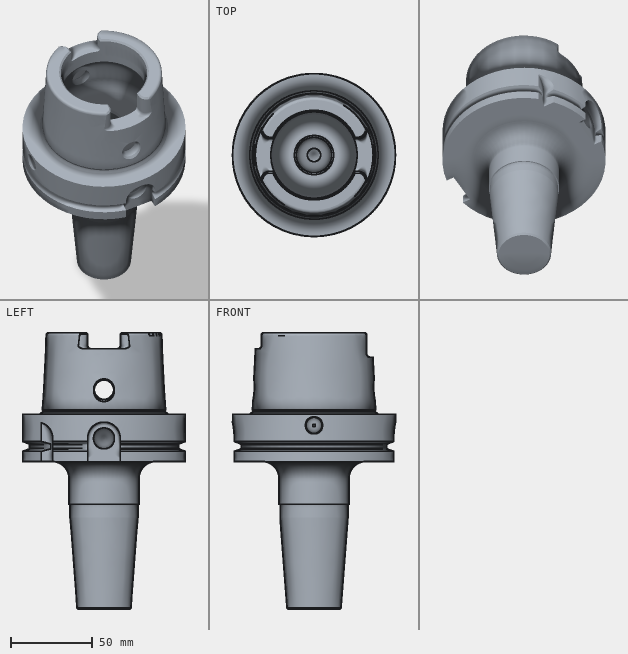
import cadquery as cq
import math

TOTAL_HEIGHT = 169.9
SEAT_Z = 120.0
FLANGE_BOTTOM_Z = 90.7
NECK_STEP_Z = 64.5
NOSE_TOP_Z = 56.5

FLANGE_DIAMETER = 100.0
FLANGE_RADIUS = FLANGE_DIAMETER / 2
NECK_RADIUS = 21.5
NOSE_RADIUS = 20.9
TIP_RADIUS = 16.7
TIP_CHAMFER = 1.0
NECK_FILLET = 10.0

GROOVE_Z = 100.0
GROOVE_RADIUS = 45.9
GROOVE_FLOOR_WIDTH = 3.0
GROOVE_MOUTH_WIDTH = 6.1
GROOVE_FILLET = 0.7

SHANK_TOP_RADIUS = 35.5
SHANK_SLOPE = 0.05
SHANK_LIP_HEIGHT = 2.7
RELIEF_RADIUS = 37.5
RELIEF_BOTTOM_HEIGHT = 1.4
RELIEF_TOP_HEIGHT = 2.0
RELIEF_FOOT_RADIUS = 39.5
RIM_FILLET = 1.9

BORE_RADIUS = 26.5
BORE_CHAMFER = 1.0
BORE_LIP_Z = 150.7
CHAMBER_RADIUS = 31.5
CHAMBER_FLOOR_Z = 123.5
CHAMBER_FILLET = 6.6
COOLANT_RADIUS = 10.9
COOLANT_CHAMFER = 1.2
COOLANT_DEPTH = 8.5
CENTRE_DRILL_RADIUS = 4.0

DRIVE_SLOT_WIDTH = 20.0
DRIVE_FLOOR_Z = {-1: 160.0, 1: 155.0}
DRIVE_CORNER_X = 27.4
DRIVE_CORNER_RADIUS = 5.0
DRIVE_SIDE_MARGIN = 8.5
DRIVE_FLOOR_FILLET = 2.0
DRIVE_TOP_CHAMFER = 1.0

CROSS_HOLE_Z = 134.9
CROSS_HOLE_RADIUS = 6.0
CROSS_SINK_RADIUS = 7.0

ARCH_WIDTH = 20.0
ARCH_CENTRE_Z = 105.0
ARCH_FLOOR_X = 44.0
DIMPLE_RADIUS = 6.5
DIMPLE_DEPTH = 5.1
NOTCH_CENTRE_Y = 41.5
NOTCH_FLOOR_X = 32.1

CHIP_Z = 113.0
CHIP_RADIUS = 5.0
CHIP_CHAMFER = 0.3
CHIP_DEPTH = 4.5
CHIP_POINT_RADIUS = 0.8

DRILL_HALF_ANGLE = math.radians(59)
CLEARANCE = 1.7


def body():
    """Turned outside shape with the rounded rim."""
    lip_z = SEAT_Z + SHANK_LIP_HEIGHT
    lip_radius = SHANK_TOP_RADIUS + SHANK_SLOPE * (TOTAL_HEIGHT - lip_z)
    fillet_x = NECK_RADIUS + NECK_FILLET
    fillet_z = FLANGE_BOTTOM_Z - NECK_FILLET
    bend = NECK_FILLET * math.sqrt(0.5)
    floor_half = GROOVE_FLOOR_WIDTH / 2
    mouth_half = GROOVE_MOUTH_WIDTH / 2
    profile = (
        cq.Workplane("XZ")
        .moveTo(0, 0)
        .lineTo(TIP_RADIUS - TIP_CHAMFER, 0)
        .lineTo(TIP_RADIUS, TIP_CHAMFER)
        .lineTo(NOSE_RADIUS, NOSE_TOP_Z)
        .lineTo(NOSE_RADIUS, NECK_STEP_Z)
        .lineTo(NECK_RADIUS, NECK_STEP_Z)
        .lineTo(NECK_RADIUS, fillet_z)
        .threePointArc((fillet_x - bend, fillet_z + bend), (fillet_x, FLANGE_BOTTOM_Z))
        .lineTo(FLANGE_RADIUS, FLANGE_BOTTOM_Z)
        .lineTo(FLANGE_RADIUS, GROOVE_Z - mouth_half)
        .lineTo(GROOVE_RADIUS, GROOVE_Z - floor_half)
        .lineTo(GROOVE_RADIUS, GROOVE_Z + floor_half)
        .lineTo(FLANGE_RADIUS, GROOVE_Z + mouth_half)
        .lineTo(FLANGE_RADIUS, SEAT_Z)
        .lineTo(RELIEF_FOOT_RADIUS, SEAT_Z)
        .lineTo(RELIEF_RADIUS, SEAT_Z + RELIEF_BOTTOM_HEIGHT)
        .lineTo(RELIEF_RADIUS, SEAT_Z + RELIEF_TOP_HEIGHT)
        .lineTo(lip_radius, lip_z)
        .lineTo(SHANK_TOP_RADIUS, TOTAL_HEIGHT)
        .lineTo(0, TOTAL_HEIGHT)
        .close()
    )
    solid = profile.revolve(360, (0, 0, 0), (0, 1, 0))
    solid = solid.faces(">Z").edges().fillet(RIM_FILLET)
    groove_floor = cq.selectors.BoxSelector(
        (-FLANGE_RADIUS, -FLANGE_RADIUS, GROOVE_Z - mouth_half + GROOVE_FILLET),
        (FLANGE_RADIUS, FLANGE_RADIUS, GROOVE_Z + mouth_half - GROOVE_FILLET),
    )
    return solid.edges("%CIRCLE").edges(groove_floor).fillet(GROOVE_FILLET)


def bore():
    """Turned inside of the shank, down to the centre drill point."""
    coolant_z = CHAMBER_FLOOR_Z - COOLANT_DEPTH
    point_z = coolant_z - CENTRE_DRILL_RADIUS / math.tan(DRILL_HALF_ANGLE)
    floor_edge = CHAMBER_RADIUS - CHAMBER_FILLET
    bend = CHAMBER_FILLET * math.sqrt(0.5)
    fillet_z = CHAMBER_FLOOR_Z + CHAMBER_FILLET
    profile = (
        cq.Workplane("XZ")
        .moveTo(0, point_z)
        .lineTo(CENTRE_DRILL_RADIUS, coolant_z)
        .lineTo(COOLANT_RADIUS, coolant_z)
        .lineTo(COOLANT_RADIUS, CHAMBER_FLOOR_Z - COOLANT_CHAMFER)
        .lineTo(COOLANT_RADIUS + COOLANT_CHAMFER, CHAMBER_FLOOR_Z)
        .lineTo(floor_edge, CHAMBER_FLOOR_Z)
        .threePointArc((floor_edge + bend, fillet_z - bend), (CHAMBER_RADIUS, fillet_z))
        .lineTo(CHAMBER_RADIUS, BORE_LIP_Z)
        .lineTo(BORE_RADIUS, BORE_LIP_Z)
        .lineTo(BORE_RADIUS, TOTAL_HEIGHT - BORE_CHAMFER)
        .lineTo(BORE_RADIUS + BORE_CHAMFER, TOTAL_HEIGHT)
        .lineTo(0, TOTAL_HEIGHT)
        .close()
    )
    return profile.revolve(360, (0, 0, 0), (0, 1, 0))


def drive_outline(height):
    """Plan outline of a +X rim slot, widening around the tongue corners."""
    half = DRIVE_SLOT_WIDTH / 2
    radius = DRIVE_CORNER_RADIUS
    bend = radius * math.sqrt(0.5)
    corner_y = half + radius
    shoulder_x = DRIVE_CORNER_X + radius
    wide_y = corner_y + DRIVE_SIDE_MARGIN
    return (
        cq.Workplane("XY")
        .workplane(offset=height)
        .moveTo(0, -half)
        .lineTo(DRIVE_CORNER_X, -half)
        .threePointArc((DRIVE_CORNER_X + bend, bend - corner_y), (shoulder_x, -corner_y))
        .lineTo(shoulder_x, -wide_y)
        .lineTo(FLANGE_RADIUS, -wide_y)
        .lineTo(FLANGE_RADIUS, wide_y)
        .lineTo(shoulder_x, wide_y)
        .lineTo(shoulder_x, corner_y)
        .threePointArc((DRIVE_CORNER_X + bend, corner_y - bend), (DRIVE_CORNER_X, half))
        .lineTo(0, half)
        .close()
    )


def drive_slot(side):
    """Rim slot with a filleted floor and chamfered top edges."""
    floor_z = DRIVE_FLOOR_Z[side]
    slot = drive_outline(floor_z).extrude(TOTAL_HEIGHT - floor_z)
    slot = slot.faces("<Z").edges().fillet(DRIVE_FLOOR_FILLET)
    chamfer_z = TOTAL_HEIGHT - DRIVE_TOP_CHAMFER
    slot = slot.union(drive_outline(chamfer_z).extrude(DRIVE_TOP_CHAMFER, taper=-45))
    turn_angle = 0 if side > 0 else 180
    return slot.rotate((0, 0, 0), (0, 0, 1), turn_angle)


def cross_hole(side):
    """Countersunk radial hole into the shank, turned about the X direction."""
    mouth_x = SHANK_TOP_RADIUS + SHANK_SLOPE * (TOTAL_HEIGHT - CROSS_HOLE_Z)
    sink_x = mouth_x - (CROSS_SINK_RADIUS - CROSS_HOLE_RADIUS)
    outer_x = mouth_x + CLEARANCE
    outer_radius = CROSS_SINK_RADIUS + CLEARANCE
    profile = (
        cq.Workplane("XZ")
        .moveTo(0, CROSS_HOLE_Z)
        .lineTo(0, CROSS_HOLE_Z + CROSS_HOLE_RADIUS)
        .lineTo(side * sink_x, CROSS_HOLE_Z + CROSS_HOLE_RADIUS)
        .lineTo(side * outer_x, CROSS_HOLE_Z + outer_radius)
        .lineTo(side * outer_x, CROSS_HOLE_Z)
        .close()
    )
    return profile.revolve(360, (0, CROSS_HOLE_Z, 0), (1, CROSS_HOLE_Z, 0))


def arched_slot(side, centre_y, floor_x):
    """Flat-floored slot with a round top, open at the flange bottom."""
    half = ARCH_WIDTH / 2
    bottom_z = FLANGE_BOTTOM_Z
    outline = (
        cq.Workplane("YZ")
        .workplane(offset=side * floor_x)
        .moveTo(centre_y - half, bottom_z)
        .lineTo(centre_y - half, ARCH_CENTRE_Z)
        .threePointArc((centre_y, ARCH_CENTRE_Z + half), (centre_y + half, ARCH_CENTRE_Z))
        .lineTo(centre_y + half, bottom_z)
        .close()
    )
    return outline.extrude(side * (FLANGE_RADIUS + CLEARANCE - floor_x))


def dimple(side):
    """Blind hole with a drill point in the floor of an arched slot."""
    step_x = ARCH_FLOOR_X - DIMPLE_DEPTH
    point_x = step_x - DIMPLE_RADIUS / math.tan(DRILL_HALF_ANGLE)
    profile = (
        cq.Workplane("XZ")
        .moveTo(side * point_x, ARCH_CENTRE_Z)
        .lineTo(side * step_x, ARCH_CENTRE_Z + DIMPLE_RADIUS)
        .lineTo(side * ARCH_FLOOR_X, ARCH_CENTRE_Z + DIMPLE_RADIUS)
        .lineTo(side * ARCH_FLOOR_X, ARCH_CENTRE_Z)
        .close()
    )
    return profile.revolve(360, (0, ARCH_CENTRE_Z, 0), (1, ARCH_CENTRE_Z, 0))


def chip_pocket():
    """Stepped round pocket turned about a -Y axis."""
    floor_y = -(FLANGE_RADIUS - CHIP_DEPTH)
    point_y = floor_y + CHIP_POINT_RADIUS / math.tan(DRILL_HALF_ANGLE)
    mouth_radius = CHIP_RADIUS + CHIP_CHAMFER
    profile = (
        cq.Workplane("XY")
        .workplane(offset=CHIP_Z)
        .moveTo(0, point_y)
        .lineTo(CHIP_POINT_RADIUS, floor_y)
        .lineTo(CHIP_RADIUS, floor_y)
        .lineTo(CHIP_RADIUS, -FLANGE_RADIUS + 2 * CHIP_CHAMFER)
        .lineTo(mouth_radius, -FLANGE_RADIUS + CHIP_CHAMFER)
        .lineTo(mouth_radius, -FLANGE_RADIUS - CLEARANCE)
        .lineTo(0, -FLANGE_RADIUS - CLEARANCE)
        .close()
    )
    return profile.revolve(360, (0, 0, 0), (0, 1, 0))


result = body().cut(bore())
for side in (-1, 1):
    result = result.cut(drive_slot(side))
    result = result.cut(cross_hole(side))
    result = result.cut(arched_slot(side, 0, ARCH_FLOOR_X))
    result = result.cut(dimple(side))
result = result.cut(arched_slot(-1, NOTCH_CENTRE_Y, NOTCH_FLOOR_X))
result = result.cut(chip_pocket())